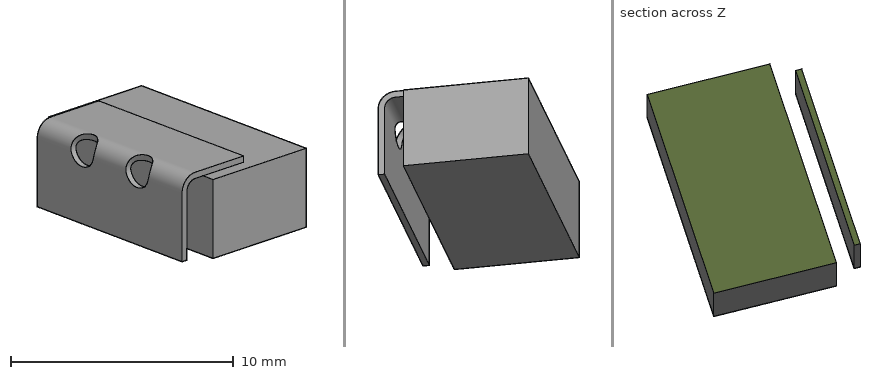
import cadquery as cq
import math

BLOCK_LENGTH = 10.8
BLOCK_WIDTH = 5.75
BLOCK_HEIGHT = 3.8

PLATE_LENGTH = 9.5
PLATE_THICKNESS = 0.3
PLATE_OVERLAP = 2.5
FRONT_OVERHANG = 1.3
BEND_OUTER_RADIUS = 0.8
BEND_INNER_RADIUS = BEND_OUTER_RADIUS - PLATE_THICKNESS
NEUTRAL_RADIUS = BEND_INNER_RADIUS + PLATE_THICKNESS / 2

PLATE_TOP = BLOCK_HEIGHT + PLATE_THICKNESS
PLATE_FRONT = -FRONT_OVERHANG
BEND_AXIS_Y = PLATE_FRONT + BEND_OUTER_RADIUS
BEND_AXIS_Z = PLATE_TOP - BEND_OUTER_RADIUS

HOLE_RADIUS = 0.75
HOLE_SPACING = 3.6
HOLE_RISE = 0.2

CUTTER_INNER_RADIUS = 0.2
CUTTER_OUTER_RADIUS = 1.6
CURVE_POINTS = 25


def make_block():
    return cq.Workplane("XY").box(
        BLOCK_LENGTH, BLOCK_WIDTH, BLOCK_HEIGHT, centered=(True, False, False)
    )


def make_plate():
    profile = (
        cq.Workplane("YZ", origin=(-PLATE_LENGTH / 2, 0, 0))
        .moveTo(PLATE_OVERLAP, PLATE_TOP)
        .lineTo(BEND_AXIS_Y, PLATE_TOP)
        .radiusArc((PLATE_FRONT, BEND_AXIS_Z), -BEND_OUTER_RADIUS)
        .lineTo(PLATE_FRONT, 0)
        .lineTo(PLATE_FRONT + PLATE_THICKNESS, 0)
        .lineTo(PLATE_FRONT + PLATE_THICKNESS, BEND_AXIS_Z)
        .radiusArc((BEND_AXIS_Y, BLOCK_HEIGHT), BEND_INNER_RADIUS)
        .lineTo(PLATE_OVERLAP, BLOCK_HEIGHT)
        .close()
    )
    return profile.extrude(PLATE_LENGTH)


def wrapped_rim(center_x, radius):
    """Upper part of the hole outline, rolled around the bend axis at a radius."""
    start = -math.asin(HOLE_RISE / HOLE_RADIUS)
    sweep = math.pi - 2 * start
    turns = [start + sweep * index / (CURVE_POINTS - 1) for index in range(CURVE_POINTS)]
    points = []
    for turn in turns:
        bend_angle = (HOLE_RISE + HOLE_RADIUS * math.sin(turn)) / NEUTRAL_RADIUS
        points.append(
            cq.Vector(
                center_x + HOLE_RADIUS * math.cos(turn),
                BEND_AXIS_Y - radius * math.cos(bend_angle),
                BEND_AXIS_Z + radius * math.sin(bend_angle),
            )
        )
    return cq.Edge.makeSpline(points, parameters=turns)


def make_bend_cutter(center_x):
    """Solid with radial side walls that cuts the hole through the bend."""
    inner_rim = wrapped_rim(center_x, CUTTER_INNER_RADIUS)
    outer_rim = wrapped_rim(center_x, CUTTER_OUTER_RADIUS)
    inner_chord = cq.Edge.makeLine(inner_rim.startPoint(), inner_rim.endPoint())
    outer_chord = cq.Edge.makeLine(outer_rim.startPoint(), outer_rim.endPoint())
    boundaries = [
        (inner_rim, outer_rim),
        (inner_chord, outer_chord),
        (inner_rim, inner_chord),
        (outer_rim, outer_chord),
    ]
    faces = [cq.Face.makeRuledSurface(first, second) for first, second in boundaries]
    return cq.Workplane(obj=cq.Solid.makeSolid(cq.Shell.makeShell(faces)).fix())


def make_flat_cutter(center_x):
    """Lower part of the hole, straight through the flat front leg."""
    cylinder = (
        cq.Workplane("XZ", origin=(center_x, BEND_AXIS_Y, BEND_AXIS_Z + HOLE_RISE))
        .circle(HOLE_RADIUS)
        .extrude(BEND_OUTER_RADIUS)
    )
    below_bend = cq.Workplane("XY", origin=(center_x, BEND_AXIS_Y, 0)).box(
        2 * HOLE_RADIUS, 2 * BEND_OUTER_RADIUS, BEND_AXIS_Z, centered=(True, True, False)
    )
    return cylinder.intersect(below_bend)


plate = make_plate()
for hole_x in (-HOLE_SPACING / 2, HOLE_SPACING / 2):
    plate = plate.cut(make_flat_cutter(hole_x)).cut(make_bend_cutter(hole_x))

result = make_block().union(plate)